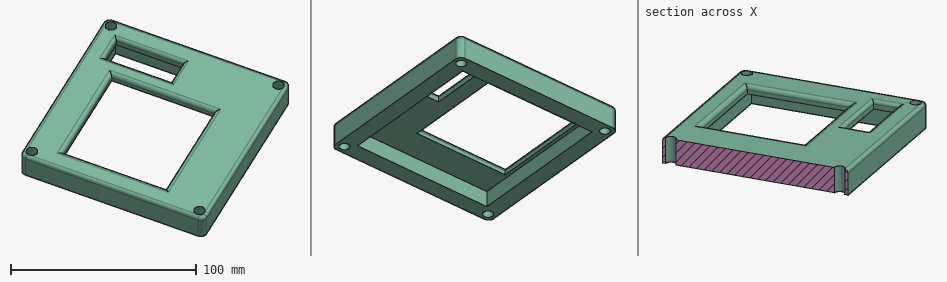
import cadquery as cq

side = 110.0
height = 15.0
corner_radius = 3.5
top_edge_radius = 2.0

wall = 10.0
plate_thickness = 5.0

hole_diameter = 6.0
hole_inset = wall / 2

display_length = 40.0
display_width = 15.0
display_center = (-23.5, 35.5)
display_edge_radius = 2.0
main_size = 61.3
main_center = (-4.0, -12.2)
main_edge_radius = 2.5

selection_margin = 1.0


def rounded_housing():
    """Solid block with rounded corners and a rounded top rim."""
    block = cq.Workplane("XY").box(side, side, height, centered=(True, True, False))
    return block.edges("|Z").fillet(corner_radius).faces(">Z").edges().fillet(top_edge_radius)


def cavity():
    """Pocket that hollows the housing from below."""
    inner = side - 2 * wall
    return cq.Workplane("XY").box(inner, inner, height - plate_thickness, centered=(True, True, False))


def cut_window(body, length, width, center, edge_radius):
    """Cut a rectangular window and round its top rim."""
    opening = cq.Workplane("XY").center(*center).rect(length, width).extrude(height)
    rim_x = length / 2 + selection_margin
    rim_y = width / 2 + selection_margin
    rim = cq.selectors.BoxSelector(
        (center[0] - rim_x, center[1] - rim_y, height - selection_margin),
        (center[0] + rim_x, center[1] + rim_y, height + selection_margin),
    )
    return body.cut(opening).edges(rim).fillet(edge_radius)


def screw_holes():
    """Through holes near the four corners."""
    pitch = side - 2 * hole_inset
    centers = cq.Workplane("XY").rect(pitch, pitch, forConstruction=True).vertices()
    return centers.circle(hole_diameter / 2).extrude(height)


result = rounded_housing().cut(cavity())
result = cut_window(result, display_length, display_width, display_center, display_edge_radius)
result = cut_window(result, main_size, main_size, main_center, main_edge_radius)
result = result.cut(screw_holes())